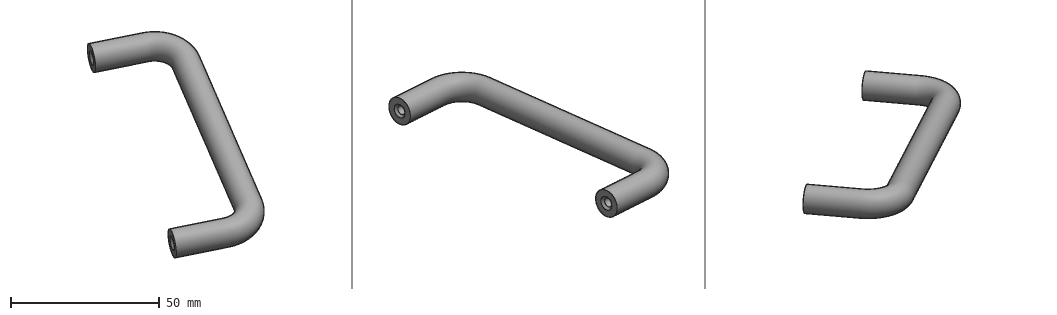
import cadquery as cq
import math

rod_diameter = 10.0
hole_spacing = 96.0
handle_height = 35.0
bend_radius = 11.0

hole_diameter = 3.242
hole_depth = 10.0
countersink_diameter = 5.0
countersink_angle = 90.0
drill_point_angle = 118.0

leg_x = hole_spacing / 2
grip_y = handle_height - rod_diameter / 2
bend_start_y = grip_y - bend_radius
bend_end_x = leg_x - bend_radius
bend_offset = bend_radius * math.sin(math.radians(45))


def cone_length(large_diameter, small_diameter, included_angle):
    """Axial length of a cone between two diameters."""
    return (large_diameter - small_diameter) / 2 / math.tan(math.radians(included_angle / 2))


def bent_rod():
    """Round rod swept along a U: leg, bend, grip, bend, leg."""
    path = (
        cq.Workplane("XY")
        .moveTo(-leg_x, 0)
        .lineTo(-leg_x, bend_start_y)
        .threePointArc((-bend_end_x - bend_offset, bend_start_y + bend_offset), (-bend_end_x, grip_y))
        .lineTo(bend_end_x, grip_y)
        .threePointArc((bend_end_x + bend_offset, bend_start_y + bend_offset), (leg_x, bend_start_y))
        .lineTo(leg_x, 0)
    )
    return cq.Workplane("XZ", origin=(-leg_x, 0, 0)).circle(rod_diameter / 2).sweep(path)


def foot_hole(axis_x):
    """Countersunk blind hole with a drill point, running along +Y from the foot."""
    countersink_depth = cone_length(countersink_diameter, hole_diameter, countersink_angle)
    point_depth = hole_depth + cone_length(hole_diameter, 0, drill_point_angle)
    profile = (
        cq.Workplane("XY", origin=(axis_x, 0, 0))
        .lineTo(countersink_diameter / 2, 0)
        .lineTo(hole_diameter / 2, countersink_depth)
        .lineTo(hole_diameter / 2, hole_depth)
        .lineTo(0, point_depth)
        .close()
    )
    return profile.revolve(360, (0, 0, 0), (0, 1, 0))


result = bent_rod()
for axis_x in (-leg_x, leg_x):
    result = result.cut(foot_hole(axis_x))